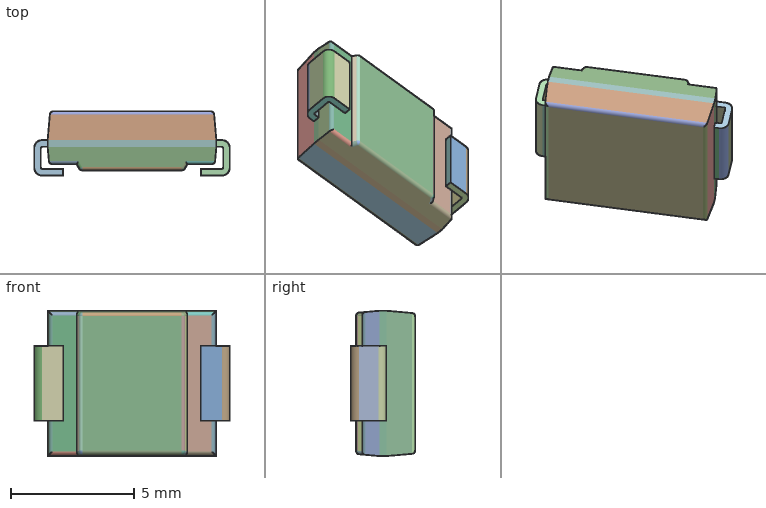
import cadquery as cq
import math


overall_length = 7.95
overall_depth = 2.62

housing_length = 6.86
housing_height = 5.91
draft_angle = 5.0
rim_radius = 0.15
base_standoff = 0.21
shoulder_standoff = 0.46
shoulder_root_x = 2.25
flank_angle = 60.0

strip_thickness = 0.28
terminal_height = 3.04
inner_bend_radius = 0.05
outer_bend_radius = inner_bend_radius + strip_thickness
foot_length = 1.18
terminal_depth = 1.45

band_top = terminal_depth
band_base = terminal_depth - strip_thickness

cut_margin = 1.0


def housing_outline(y):
    """Full housing rectangle on a plane at height y, extruding towards +Y."""
    return cq.Workplane("ZX", origin=(0, y, 0)).rect(housing_height, housing_length)


def shoulder_cutter(side):
    """Prism that leaves a shoulder and a sloping pad flank at one end (side = -1 or 1)."""
    y_low = base_standoff - cut_margin
    flank_run = (shoulder_standoff - y_low) / math.tan(math.radians(flank_angle))
    outer_x = housing_length / 2 + cut_margin
    return (
        cq.Workplane("XY")
        .polyline([
            (side * shoulder_root_x, shoulder_standoff),
            (side * outer_x, shoulder_standoff),
            (side * outer_x, y_low),
            (side * (shoulder_root_x - flank_run), y_low),
        ])
        .close()
        .extrude(housing_height / 2 + cut_margin, both=True)
    )


def make_housing():
    """Moulded body: drafted back, straight band and drafted base with a raised pad."""
    band = housing_outline(band_base).extrude(strip_thickness)
    back = housing_outline(band_top).extrude(overall_depth - band_top, taper=draft_angle)
    base = (
        cq.Workplane("XZ", origin=(0, band_base, 0))
        .rect(housing_length, housing_height)
        .extrude(band_base - base_standoff, taper=draft_angle)
    )
    for side in (-1, 1):
        base = base.cut(shoulder_cutter(side))

    concave_root = cq.selectors.BoxSelector(
        (-shoulder_root_x - rim_radius, shoulder_standoff - rim_radius / 2, -rim_radius),
        (shoulder_root_x + rim_radius, shoulder_standoff + rim_radius / 2, rim_radius),
    )
    below_shoulder = cq.selectors.BoxSelector(
        (-housing_length, base_standoff - rim_radius / 2, -housing_height),
        (housing_length, shoulder_standoff + rim_radius / 2, housing_height),
    )
    base = base.edges(below_shoulder - concave_root).fillet(rim_radius)

    back = back.faces(">Y").edges().fillet(rim_radius)
    return band.union(back).union(base)


def strip_block(side, end_x, offset, bend_radius):
    """Block from end_x to the terminal outer end, inset by offset, with rounded outer corners."""
    outer_x = overall_length / 2 - offset
    return (
        cq.Workplane("XY")
        .center(side * (outer_x + end_x) / 2, terminal_depth / 2)
        .rect(outer_x - end_x, terminal_depth - 2 * offset)
        .extrude(terminal_height / 2, both=True)
        .edges("|Z")
        .edges(">X" if side > 0 else "<X")
        .fillet(bend_radius)
    )


def make_terminal(side):
    """C-shaped strip from the housing band around to a foot under the housing (side = -1 or 1)."""
    foot_tip_x = overall_length / 2 - foot_length
    band_x = housing_length / 2
    outside = strip_block(side, foot_tip_x, 0, outer_bend_radius)
    inside = strip_block(side, foot_tip_x, strip_thickness, inner_bend_radius)

    arm_trim = (
        cq.Workplane("XY")
        .center(side * (foot_tip_x + band_x) / 2, band_base + strip_thickness / 2)
        .rect(band_x - foot_tip_x, strip_thickness)
        .extrude(terminal_height / 2, both=True)
    )
    return outside.cut(inside).cut(arm_trim)


housing = make_housing()
terminals = [make_terminal(side) for side in (-1, 1)]

result = cq.Compound.makeCompound([housing.val(), *[terminal.val() for terminal in terminals]])